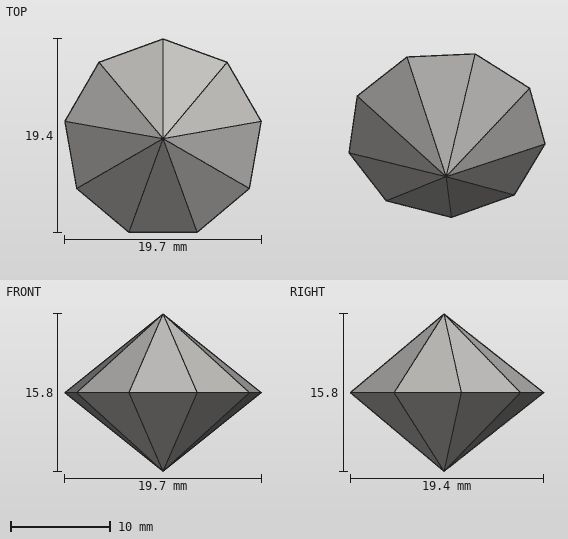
import cadquery as cq
import math

side_count = 9
width = 19.7
total_height = 15.78

corner_step = 2 * math.pi / side_count
corner_radius = width / (2 * math.cos(corner_step / 4))
pyramid_height = total_height / 2


def base_corners():
    """Corners of the regular nine-sided base, starting on +Y."""
    angles = [math.pi / 2 + i * corner_step for i in range(side_count)]
    return [cq.Vector(corner_radius * math.cos(a), corner_radius * math.sin(a), 0) for a in angles]


def planar_face(points):
    """Flat face bounded by straight edges through the points."""
    return cq.Face.makeFromWires(cq.Wire.makePolygon(points, close=True))


def make_upper_pyramid():
    """Pyramid standing on the XY plane with its tip on +Z."""
    corners = base_corners()
    tip = cq.Vector(0, 0, pyramid_height)
    faces = [planar_face(corners)]
    for i in range(side_count):
        next_corner = corners[(i + 1) % side_count]
        faces.append(planar_face([corners[i], next_corner, tip]))
    return cq.Solid.makeSolid(cq.Shell.makeShell(faces))


def make_lower_pyramid():
    """Matching pyramid pointing down, touching the upper one base to base."""
    return make_upper_pyramid().mirror("XY")


upper_pyramid = make_upper_pyramid()
lower_pyramid = make_lower_pyramid()

result = cq.Compound.makeCompound([upper_pyramid, lower_pyramid])